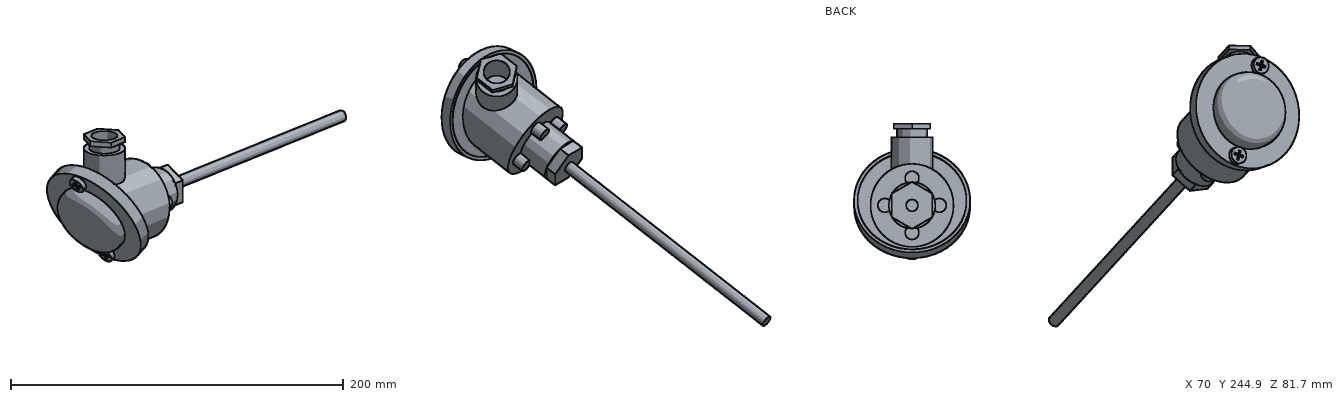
import cadquery as cq
import math


rod_diameter = 7.0
rod_end = 186.0
hex_flats = 24.5
hex_thickness = 6.9
neck_diameter = 28.0
neck_length = 19.8

lug_count = 4
lug_diameter = 8.3
lug_length = 7.3
lug_circle_radius = 16.5

body_diameter = 50.0
cover_tilt = 26.6
cover_center_y = -33.8
cover_center_z = 3.0
cover_diameter = 70.0
cover_thickness = 7.8
rim_width = 2.2
rim_recess_depth = 0.5
dome_diameter = 46.5
dome_height = 10.0
dome_fillet = 7.0

screw_diameter = 10.0
screw_height = 3.2
screw_circle_radius = 29.1
recess_length = 6.0
recess_width = 1.2
recess_depth = 2.0

gland_y = -31.0
gland_diameter = 25.0
gland_top = 41.1
gland_neck_diameter = 18.4
gland_neck_height = 5.0
gland_hex_flats = 22.0
gland_hex_height = 3.2
gland_bore_diameter = 15.7
gland_bore_depth = 19.5


def rear_plane(y):
    """Plane facing +Y, with its local x axis pointing up."""
    return cq.Plane(origin=(0, y, 0), xDir=(0, 0, 1), normal=(0, 1, 0))


def corner_diameter(flats):
    """Distance across the corners of a hexagon."""
    return flats / math.cos(math.pi / 6)


def make_probe():
    neck = cq.Workplane(rear_plane(0)).circle(neck_diameter / 2).extrude(neck_length)
    nut = (
        cq.Workplane(rear_plane(neck_length))
        .polygon(6, corner_diameter(hex_flats))
        .extrude(hex_thickness)
    )
    rod = cq.Workplane(rear_plane(0)).circle(rod_diameter / 2).extrude(rod_end)
    lugs = (
        cq.Workplane(rear_plane(0))
        .polarArray(lug_circle_radius, 0, 360, lug_count)
        .circle(lug_diameter / 2)
        .extrude(lug_length)
    )
    return neck.union(nut).union(rod).union(lugs)


def make_body():
    """Cylinder cut off along the recessed floor in the rear of the cover."""
    tilt = math.radians(cover_tilt)
    radius = body_diameter / 2

    def cover_y(z):
        floor_y = cover_center_y - rim_recess_depth / math.cos(tilt)
        return floor_y - (z - cover_center_z) * math.tan(tilt)

    side_outline = [
        (0, -radius),
        (0, radius),
        (cover_y(radius), radius),
        (cover_y(-radius), -radius),
    ]
    profile = (
        cq.Workplane("YZ")
        .polyline(side_outline)
        .close()
        .extrude(radius, both=True)
    )
    cylinder = cq.Workplane(rear_plane(0)).circle(radius).extrude(-cover_diameter)
    return cylinder.intersect(profile)


def make_cover():
    tilt = math.radians(cover_tilt)
    rear_face = cq.Plane(
        origin=(0, cover_center_y, cover_center_z),
        xDir=(1, 0, 0),
        normal=(0, -math.cos(tilt), -math.sin(tilt)),
    )
    cover = cq.Workplane(rear_face).circle(cover_diameter / 2).extrude(cover_thickness)
    recess = (
        cq.Workplane(rear_face)
        .circle(cover_diameter / 2 - rim_width)
        .extrude(rim_recess_depth)
    )
    cover = cover.cut(recess)
    front_face = cq.Workplane(rear_face).workplane(offset=cover_thickness)
    dome = (
        front_face.circle(dome_diameter / 2)
        .extrude(dome_height)
        .faces(cq.selectors.DirectionMinMaxSelector(rear_face.zDir, True))
        .edges()
        .fillet(dome_fillet)
    )
    screw_places = [(0, screw_circle_radius), (0, -screw_circle_radius)]
    screws = front_face.pushPoints(screw_places).circle(screw_diameter / 2).extrude(screw_height)
    cover = cover.union(dome).union(screws)
    screw_tops = front_face.workplane(offset=screw_height).pushPoints(screw_places)
    for length, width in ((recess_length, recess_width), (recess_width, recess_length)):
        cover = cover.cut(screw_tops.rect(length, width).extrude(-recess_depth))
    return cover


def make_gland():
    base = cq.Workplane("XY").center(0, gland_y)
    tube = base.circle(gland_diameter / 2).extrude(gland_top)
    neck = base.workplane(offset=gland_top).circle(gland_neck_diameter / 2).extrude(gland_neck_height)
    nut = (
        base.workplane(offset=gland_top + gland_neck_height)
        .transformed(rotate=(0, 0, 90))
        .polygon(6, corner_diameter(gland_hex_flats))
        .extrude(gland_hex_height)
    )
    bore = (
        base.workplane(offset=gland_top + gland_neck_height + gland_hex_height)
        .circle(gland_bore_diameter / 2)
        .extrude(-gland_bore_depth)
    )
    return tube.union(neck).union(nut).cut(bore)


result = make_body().union(make_probe()).union(make_cover()).union(make_gland())